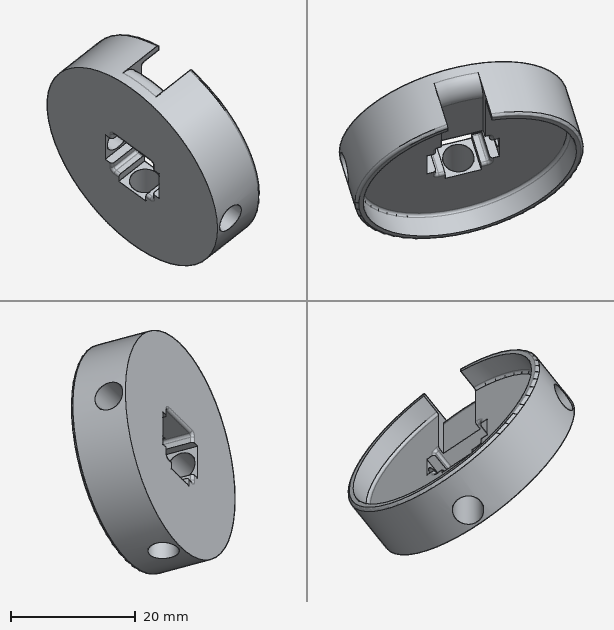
import cadquery as cq

disc_radius = 19.0
disc_depth = 10.0
web_depth = 6.0
rim_thickness = 1.25
edge_radius = 0.5

square_side = 9.0
square_corner_radius = 0.5
arm_width = 6.0
arm_reach = 6.0

hole_diameter = 5.0
hole_y = 3.0

notch_width = 7.35
notch_front = 1.7
lead_radius = 3.0
notch_floor = notch_front + lead_radius


def front_plane(y):
    """XZ plane at the given Y, where a negative extrusion runs toward +Y."""
    return cq.Plane(origin=(0, y, 0), xDir=(1, 0, 0), normal=(0, -1, 0))


def make_cup():
    """Disc with a rounded back edge, hollowed from the back."""
    disc = cq.Workplane(front_plane(0)).circle(disc_radius).extrude(-disc_depth)
    disc = disc.faces(">Y").edges().fillet(edge_radius)
    hollow = (
        cq.Workplane(front_plane(web_depth))
        .circle(disc_radius - rim_thickness)
        .extrude(-(disc_depth - web_depth))
    )
    hollow = hollow.faces("<Y").edges().fillet(edge_radius)
    return disc.cut(hollow)


def cut_square(body):
    """Square opening through the web, rounded over at both mouths."""
    opening = (
        cq.Workplane(front_plane(0))
        .rect(square_side, square_side)
        .extrude(-web_depth)
        .edges("|Y")
        .fillet(square_corner_radius)
    )
    along_y = cq.selectors.ParallelDirSelector(cq.Vector(0, 1, 0))
    near_axis = cq.selectors.BoxSelector(
        (-square_side, -web_depth, -square_side),
        (square_side, disc_depth, square_side),
        boundingbox=True,
    )
    return body.cut(opening).edges(near_axis - along_y).fillet(edge_radius)


def make_arms():
    """Side arms and the lower arm of the central opening."""
    side_arms = cq.Workplane(front_plane(0)).rect(2 * arm_reach, arm_width).extrude(-web_depth)
    lower_arm = (
        cq.Workplane(front_plane(0))
        .center(0, -arm_reach / 2)
        .rect(arm_width, arm_reach)
        .extrude(-web_depth)
    )
    return side_arms.union(lower_arm)


def make_holes():
    """Hole through both sides along X, and one from the centre down to -Z."""
    side_hole = (
        cq.Workplane("YZ")
        .center(hole_y, 0)
        .circle(hole_diameter / 2)
        .extrude(disc_radius, both=True)
    )
    lower_hole = (
        cq.Workplane("XY")
        .center(0, hole_y)
        .circle(hole_diameter / 2)
        .extrude(-disc_radius)
    )
    return side_hole.union(lower_hole)


def make_notch():
    """Slot from the centre up through the rim, its floor rounded down to the disc's front."""
    slot = cq.Workplane("XY").box(
        notch_width, disc_depth, disc_radius, centered=(True, False, False)
    )
    floor = (
        cq.Workplane(front_plane(0))
        .circle(disc_radius)
        .extrude(-notch_floor)
        .faces(">Y")
        .edges()
        .fillet(lead_radius)
    )
    return slot.cut(floor)


result = cut_square(make_cup()).cut(make_arms()).cut(make_holes()).cut(make_notch())